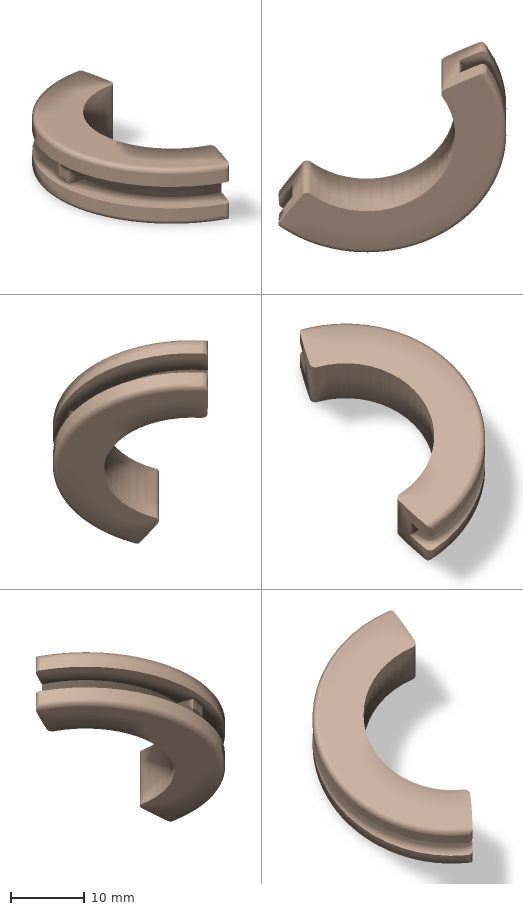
import cadquery as cq

outer_radius = 19.05
inner_radius = 12.1
groove_floor_radius = 15.3
height = 8.4
groove_height = 3.22
edge_radius = 0.8
end_face_radius = 63.7
end_crest_y = -0.05
key_width = 2.6
key_reach = 17.7


def ring(outer, inner, ring_height):
    """Full ring centred on the origin, standing along Z."""
    blank = cq.Workplane("XY").circle(outer).circle(inner).extrude(ring_height)
    return blank.translate((0, 0, -ring_height / 2))


def end_cylinder():
    """Large cylinder whose crest shapes both end faces."""
    cylinder = cq.Workplane("XY").circle(end_face_radius).extrude(height)
    return cylinder.translate((0, end_crest_y - end_face_radius, -height / 2))


def grooved_segment():
    """Ring segment with rounded upright corners, rounded rims and a groove."""
    segment = ring(outer_radius, inner_radius, height).intersect(end_cylinder())
    segment = segment.edges("|Z").fillet(edge_radius)

    rounded_disc = cq.Workplane("XY").circle(outer_radius).extrude(height)
    rounded_disc = rounded_disc.translate((0, 0, -height / 2)).edges("%CIRCLE").fillet(edge_radius)
    segment = segment.intersect(rounded_disc)

    groove = ring(1.1 * outer_radius, groove_floor_radius, groove_height)
    return segment.cut(groove)


def key():
    """Flat-faced block crossing the groove, rooted in the core."""
    root_radius = (inner_radius + groove_floor_radius) / 2
    block = cq.Workplane("XY").box(key_width, key_reach - root_radius, groove_height)
    return block.translate((0, -(key_reach + root_radius) / 2, 0))


result = grooved_segment().union(key())